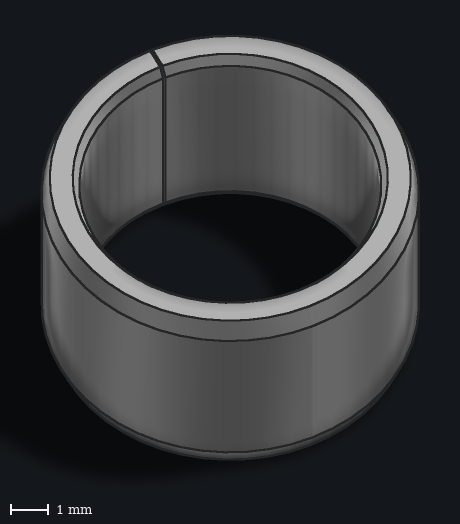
import cadquery as cq
import math

outer_radius = 5.0
bore_radius = 4.0
height = 6.0

lead_length = 0.6
lead_angle = 20.0
lead_depth = lead_length * math.tan(math.radians(lead_angle))

mouth_length = 0.3
mouth_angle = 30.0
mouth_depth = mouth_length * math.tan(math.radians(mouth_angle))

gap_width = 0.07

half_height = height / 2


def bushing_ring():
    """Revolve the wall section, with all four corners chamfered."""
    wall_section = [
        (bore_radius, -half_height + mouth_length),
        (bore_radius + mouth_depth, -half_height),
        (outer_radius - lead_depth, -half_height),
        (outer_radius, -half_height + lead_length),
        (outer_radius, half_height - lead_length),
        (outer_radius - lead_depth, half_height),
        (bore_radius + mouth_depth, half_height),
        (bore_radius, half_height - mouth_length),
    ]
    return cq.Workplane("XZ").polyline(wall_section).close().revolve(360, (0, 0), (0, 1))


def joint_gap():
    """Slab from the axis outwards along -X, long enough to clear the wall."""
    slab_length = 2 * outer_radius
    slab = cq.Workplane("XY").box(slab_length, gap_width, 2 * height)
    return slab.translate((-slab_length / 2, 0, 0))


result = bushing_ring().cut(joint_gap())